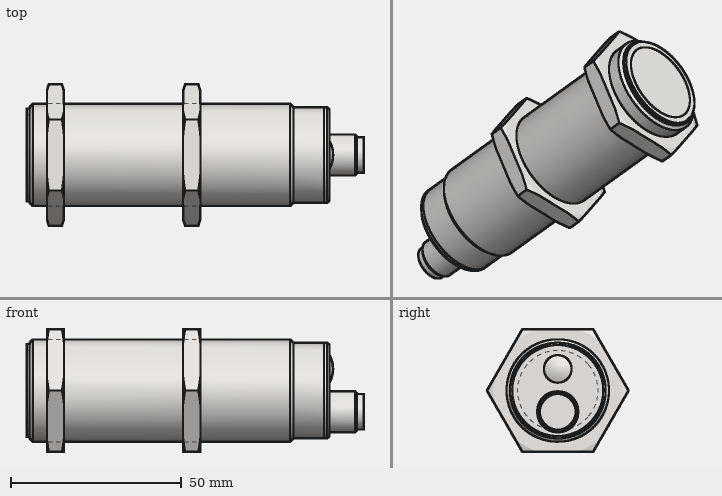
import cadquery as cq
import math

total_length = 98.8

barrel_radius = 15.0
neck_radius = 14.0
lip_radius = 13.6
lip_length = 0.9
shoulder_chamfer = barrel_radius - neck_radius
barrel_end = 78.2
neck_end = 87.0

disc_radius = 11.8
disc_thickness = lip_length

cap_end = 88.7
cap_chamfer = 0.7

connector_radius = 6.0
connector_tip_radius = 5.2
connector_z = -6.2
connector_collar_end = 96.7
connector_chamfer = 0.6

dome_radius = 4.1
dome_height = 1.1
dome_z = 6.3

nut_across_flats = 36.0
nut_thickness = 5.0
nut_chamfer_radius = 18.9
nut_chamfer_depth = 0.6
nut_starts = [5.9, 45.8]


def revolve_about_x(profile):
    """Revolve an (x, radius) profile a full turn about the X axis."""
    return profile.close().revolve(360, (0, 0, 0), (1, 0, 0))


def make_housing():
    profile = (
        cq.Workplane("XY")
        .moveTo(disc_thickness, 0)
        .lineTo(disc_thickness, disc_radius)
        .lineTo(0, disc_radius)
        .lineTo(0, lip_radius)
        .lineTo(lip_length, lip_radius)
        .lineTo(lip_length, neck_radius)
        .lineTo(lip_length + shoulder_chamfer, barrel_radius)
        .lineTo(barrel_end - shoulder_chamfer, barrel_radius)
        .lineTo(barrel_end, neck_radius)
        .lineTo(neck_end, neck_radius)
        .lineTo(neck_end, 0)
    )
    return revolve_about_x(profile)


def make_sensing_disc():
    return cq.Workplane("YZ").circle(disc_radius).extrude(disc_thickness)


def make_rear_cap():
    cap = cq.Workplane("YZ", origin=(neck_end, 0, 0)).circle(neck_radius).extrude(cap_end - neck_end)
    return cap.faces(">X").chamfer(cap_chamfer)


def make_connector():
    """Round collar with a chamfered end and a narrower tip, standing on the cap."""
    collar = (
        cq.Workplane("YZ", origin=(cap_end, 0, connector_z))
        .circle(connector_radius)
        .extrude(connector_collar_end - cap_end)
        .faces(">X")
        .chamfer(connector_chamfer)
    )
    tip = (
        cq.Workplane("YZ", origin=(connector_collar_end, 0, connector_z))
        .circle(connector_tip_radius)
        .extrude(total_length - connector_collar_end)
    )
    return collar.union(tip)


def make_dome():
    """Spherical cap with its flat base on the rear cap."""
    sphere_radius = (dome_radius**2 + dome_height**2) / (2 * dome_height)
    half_angle = math.asin(dome_radius / sphere_radius) / 2
    sphere_center_x = dome_height - sphere_radius
    profile = (
        cq.Workplane("XY")
        .lineTo(0, dome_radius)
        .threePointArc(
            (sphere_center_x + sphere_radius * math.cos(half_angle), sphere_radius * math.sin(half_angle)),
            (dome_height, 0),
        )
    )
    return revolve_about_x(profile).translate((cap_end, 0, dome_z))


def make_nut(start):
    """Hexagonal nut around the barrel, its corners cut back by a cone on both faces."""
    corner_radius = nut_across_flats / math.sqrt(3)
    hexagon = cq.Workplane("YZ").polygon(6, 2 * corner_radius).extrude(nut_thickness)
    chamfer_cones = revolve_about_x(
        cq.Workplane("XY")
        .lineTo(0, nut_chamfer_radius)
        .lineTo(nut_chamfer_depth, corner_radius)
        .lineTo(nut_thickness - nut_chamfer_depth, corner_radius)
        .lineTo(nut_thickness, nut_chamfer_radius)
        .lineTo(nut_thickness, 0)
    )
    bore = cq.Workplane("YZ").circle(barrel_radius).extrude(nut_thickness)
    return hexagon.intersect(chamfer_cones).cut(bore).translate((start, 0, 0))


housing = make_housing()
sensing_disc = make_sensing_disc()
rear_cap = make_rear_cap()
connector = make_connector()
dome = make_dome()
nuts = [make_nut(start) for start in nut_starts]

result = cq.Compound.makeCompound([
    housing.val(),
    sensing_disc.val(),
    rear_cap.val(),
    connector.val(),
    dome.val(),
    *[nut.val() for nut in nuts],
])